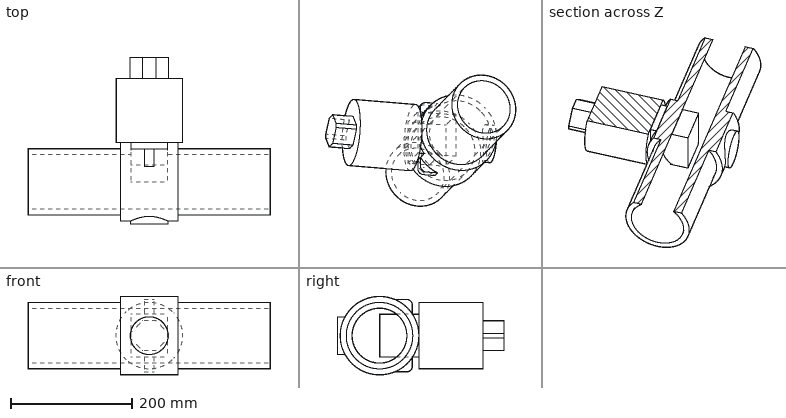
import cadquery as cq

pipe_length = 400.0
pipe_diameter = 110.0
bore_diameter = 90.5
sleeve_diameter = 130.0
sleeve_length = 95.0
sleeve_radius = sleeve_diameter / 2

boss_diameter = 62.5
boss_end = 69.5

lug_thickness = 16.0
lug_height = 120.0
lug_back = 54.5
lug_fillet = 9.5

gate_width = 60.0
gate_height = 71.0
cylinder_diameter = pipe_diameter
cylinder_length = 106.0
cap_width = 64.0
cap_height = 49.5
cap_chamfer = 21.0
cap_length = 35.0


def rod_along_x(diameter, length):
    """Cylinder on the X axis, centred on the origin."""
    return cq.Workplane("YZ").circle(diameter / 2).extrude(length / 2, both=True)


def block_along_y(width, height, start, length):
    """Rectangular block centred on the Y axis, from y = start towards +Y."""
    return cq.Workplane("XY").box(width, length, height).translate((0, start + length / 2, 0))


def rod_along_y(diameter, start, length):
    """Cylinder on the Y axis, from y = start towards +Y."""
    return cq.Workplane("XZ", origin=(0, start, 0)).circle(diameter / 2).extrude(-length)


def make_gate():
    """Flat gate reaching from the pipe axis to the outside of the sleeve."""
    return block_along_y(gate_width, gate_height, 0, sleeve_radius)


def make_lugs():
    """Thin plate whose rounded ends stand out above and below the sleeve."""
    plate = block_along_y(lug_thickness, lug_height, 0, lug_back)
    return plate.faces(">Y").edges("|X").fillet(lug_fillet)


def make_pipe():
    """Sleeved pipe with boss and lugs, bored through and slotted for the gate."""
    pipe = rod_along_x(pipe_diameter, pipe_length).union(rod_along_x(sleeve_diameter, sleeve_length))
    boss = rod_along_y(boss_diameter, -boss_end, boss_end)
    body = pipe.union(boss).union(make_lugs())
    return body.cut(rod_along_x(bore_diameter, pipe_length)).cut(make_gate())


def make_actuator():
    """Gate, round cylinder and chamfered cap as one body."""
    cylinder = rod_along_y(cylinder_diameter, sleeve_radius, cylinder_length)
    cap_start = sleeve_radius + cylinder_length
    cap = block_along_y(cap_width, cap_height, cap_start, cap_length).edges("|Y").chamfer(cap_chamfer)
    return make_gate().union(cylinder).union(cap)


pipe_body = make_pipe()
actuator = make_actuator()
result = cq.Compound.makeCompound([pipe_body.val(), actuator.val()])